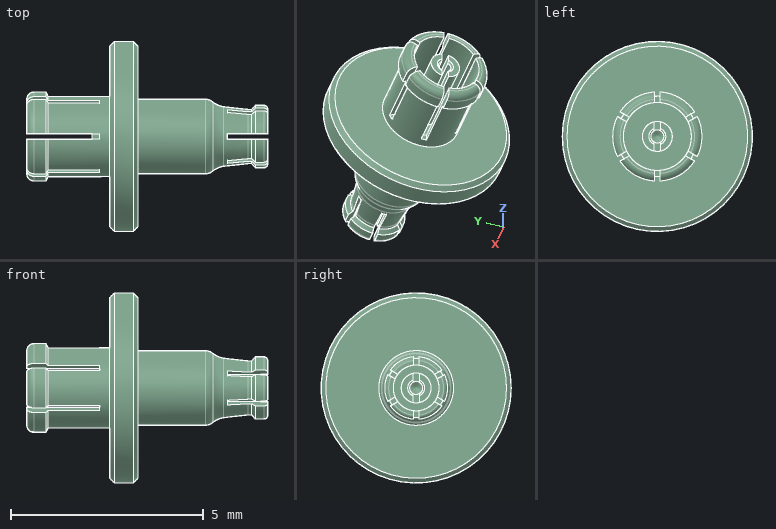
import cadquery as cq
import math


length = 6.25
flange_left = 2.15
flange_width = 0.74
flange_right = flange_left + flange_width
flange_diameter = 4.93
flange_radius = flange_diameter / 2
flange_chamfer = 0.125

bore_past_slot = 0.15

large_tube_radius = 1.045
large_bead_radius = 1.155
large_bead_rounding = 0.195
large_bead_end = 0.5
large_bead_taper = 0.055
large_bore_radius = 0.88
large_slot_depth = 1.895
large_bore_depth = large_slot_depth + bore_past_slot

body_radius = 0.97
body_end = 4.64
shoulder_line_start = (4.81, 0.905)
shoulder_line_end = (4.84, 0.89)
neck_start = (5.1, 0.775)

neck_radius = 0.705
neck_taper_end = 5.74
small_bead_taper_start = 5.83
small_bead_start = 5.93
small_bead_radius = 0.81
small_bead_rounding = 0.1
small_bore_radius = 0.595
small_slot_depth = 1.05
small_bore_depth = small_slot_depth + bore_past_slot

finger_count = 6
finger_slot_width = 0.14

pin_radius = 0.39
pin_slot_width = 0.175
pin_hole_radius = 0.17
pin_mouth_radius = 0.22
pin_drill_angle = 118
pin_drill_point = pin_hole_radius / math.tan(math.radians(pin_drill_angle / 2))
large_pin_recess = 0.11
large_pin_slot_depth = 1.69
small_pin_recess = 0.18
small_pin_slot_depth = small_slot_depth


def disc(start, end, radius):
    """Solid cylinder on the X axis between two stations."""
    return cq.Workplane("YZ", origin=(start, 0, 0)).circle(radius).extrude(end - start)


def turned(outline):
    """Close an outline of (station, radius) points and revolve it about X."""
    return outline.close().revolve(360, (0, 0, 0), (1, 0, 0))


def make_large_socket():
    return turned(
        cq.Workplane("XY")
        .lineTo(0, large_bead_radius - large_bead_rounding)
        .radiusArc((large_bead_rounding, large_bead_radius), large_bead_rounding)
        .lineTo(large_bead_end, large_bead_radius)
        .lineTo(large_bead_end + large_bead_taper, large_tube_radius)
        .lineTo(flange_left, large_tube_radius)
        .lineTo(flange_left, 0)
    )


def make_flange():
    return disc(flange_left, flange_right, flange_radius).edges().chamfer(flange_chamfer)


def make_body_and_small_socket():
    return turned(
        cq.Workplane("XY")
        .moveTo(flange_right, 0)
        .lineTo(flange_right, body_radius)
        .lineTo(body_end, body_radius)
        .tangentArcPoint(shoulder_line_start, relative=False)
        .lineTo(*shoulder_line_end)
        .tangentArcPoint(neck_start, relative=False)
        .lineTo(neck_taper_end, neck_radius)
        .lineTo(small_bead_taper_start, neck_radius)
        .lineTo(small_bead_start, small_bead_radius)
        .lineTo(length - small_bead_rounding, small_bead_radius)
        .radiusArc((length, small_bead_radius - small_bead_rounding), small_bead_rounding)
        .lineTo(length, 0)
    )


def make_finger_slots(start, end, bore_radius):
    """Radial slots through a socket wall, leaving the core inside the bore radius."""
    slot_length = end - start
    slots = cq.Workplane("XY")
    for index in range(finger_count):
        slot = (
            cq.Workplane("XY", origin=(start, 0, 0))
            .box(slot_length, finger_slot_width, flange_radius, centered=(False, True, False))
            .rotate((0, 0, 0), (1, 0, 0), index * 360 / finger_count)
        )
        slots = slots.add(slot)
    return slots.combine().cut(disc(start, end, bore_radius))


def make_pin(recess, slot_depth, base_depth):
    """Pin facing -X in a socket that opens at X = 0, split by a slot and drilled along its axis."""
    mouth_end = recess + pin_mouth_radius - pin_hole_radius
    slot = cq.Workplane("XY", origin=(recess, 0, 0)).box(
        slot_depth - recess, pin_slot_width, 2 * pin_radius, centered=(False, True, True)
    )
    hole = turned(
        cq.Workplane("XY")
        .moveTo(recess, 0)
        .lineTo(recess, pin_mouth_radius)
        .lineTo(mouth_end, pin_hole_radius)
        .lineTo(slot_depth, pin_hole_radius)
        .lineTo(slot_depth + pin_drill_point, 0)
    )
    return disc(recess, base_depth, pin_radius).cut(slot).cut(hole)


def face_right(pin):
    """Mirror a left-facing pin so that it opens at the right end."""
    return pin.mirror("YZ").translate((length, 0, 0))


outer = make_large_socket().union(make_flange()).union(make_body_and_small_socket())
large_pin = make_pin(large_pin_recess, large_pin_slot_depth, large_bore_depth)
small_pin = face_right(make_pin(small_pin_recess, small_pin_slot_depth, small_bore_depth))

result = (
    outer.cut(disc(0, large_bore_depth, large_bore_radius))
    .cut(disc(length - small_bore_depth, length, small_bore_radius))
    .cut(make_finger_slots(0, large_slot_depth, large_bore_radius))
    .cut(make_finger_slots(length - small_slot_depth, length, small_bore_radius))
    .union(large_pin)
    .union(small_pin)
)